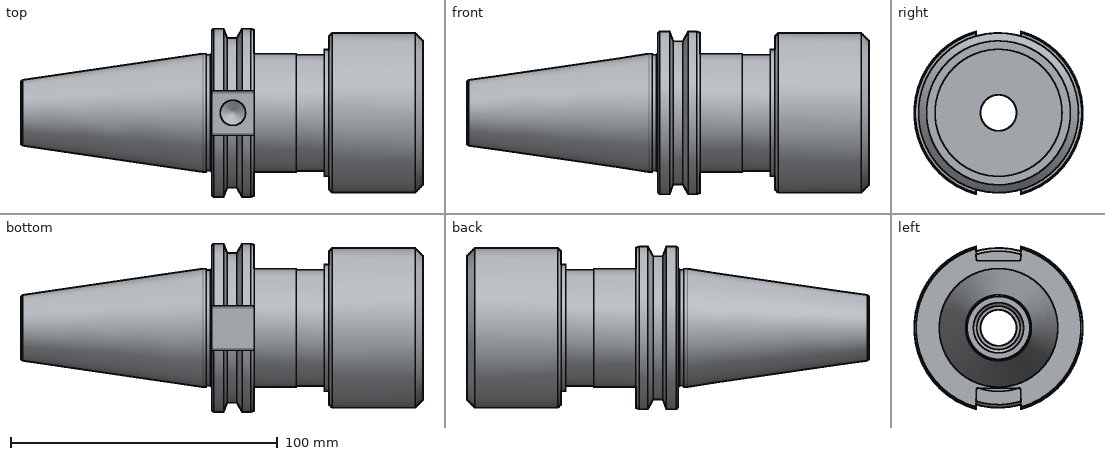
import cadquery as cq
import math

gauge_x = 68.2
relief_start_x = 69.5
flange_start_x = 71.5
v_groove_start_x = 76.0
v_floor_start_x = 77.4
v_floor_end_x = 81.0
v_groove_end_x = 83.0
flange_end_x = 87.5
neck_step_x = 103.3
nose_start_x = 113.7
nut_start_x = 115.5
nose_end_x = 150.8

small_end_radius = 12.4
body_radius = 44.5 / 2
relief_radius = 43.6 / 2
flange_radius = 31.7
v_floor_radius = 28.2
neck_radius = 43.7 / 2
nose_radius = 47.7 / 2

small_end_chamfer = 0.6
relief_corner = 0.5
flange_front_chamfer = 0.8
flange_back_chamfer = 1.4
flange_back_drop = 0.5

bore_radius = 13.4 / 2
pilot_radius = 16.3 / 2
pilot_mouth_radius = 18.8 / 2
pilot_depth = 4.2

slot_width = 16.7
upper_slot_floor = 25.2
lower_slot_floor = 22.6
slot_corner_radius = 0.8
dimple_radius = 9.5 / 2
dimple_tip_angle = 118

nut_radius = 60.0 / 2
nut_rear_chamfer = 1.2
nut_front_chamfer = 3.0


def revolve_about_x(points):
    """Solid of revolution about X from (x, radius) points."""
    return cq.Workplane("XY").polyline(points).close().revolve(360, (0, 0, 0), (1, 0, 0))


def holder_blank():
    """Taper, flange with V groove, neck and nose."""
    return revolve_about_x([
        (0, 0),
        (0, small_end_radius - small_end_chamfer),
        (small_end_chamfer, small_end_radius),
        (gauge_x, body_radius),
        (relief_start_x, body_radius),
        (relief_start_x, relief_radius),
        (flange_start_x - relief_corner, relief_radius),
        (flange_start_x, relief_radius + relief_corner),
        (flange_start_x, flange_radius - flange_front_chamfer),
        (flange_start_x + flange_front_chamfer, flange_radius),
        (v_groove_start_x, flange_radius),
        (v_floor_start_x, v_floor_radius),
        (v_floor_end_x, v_floor_radius),
        (v_groove_end_x, flange_radius),
        (flange_end_x - flange_back_chamfer, flange_radius),
        (flange_end_x, flange_radius - flange_back_drop),
        (flange_end_x, body_radius),
        (neck_step_x, body_radius),
        (neck_step_x, neck_radius),
        (nose_start_x, neck_radius),
        (nose_start_x, nose_radius),
        (nose_end_x, nose_radius),
        (nose_end_x, 0),
    ])


def bore_cutter():
    """Through bore with a chamfered pilot at the small end."""
    mouth_chamfer = pilot_mouth_radius - pilot_radius
    return revolve_about_x([
        (0, 0),
        (0, pilot_mouth_radius),
        (mouth_chamfer, pilot_radius),
        (pilot_depth, pilot_radius),
        (pilot_depth, bore_radius),
        (nose_end_x, bore_radius),
        (nose_end_x, 0),
    ])


def slot_cutter(floor_height, direction):
    """Round-cornered drive slot across the flange, outward from the floor toward +Z (1) or -Z (-1)."""
    depth = flange_radius - floor_height
    flange_width = flange_end_x - flange_start_x
    block = cq.Workplane("XY").box(flange_width, slot_width, depth)
    floor_face = "<Z" if direction > 0 else ">Z"
    rounded = block.faces(floor_face).edges("|X").fillet(slot_corner_radius)
    return rounded.translate((
        (flange_start_x + flange_end_x) / 2,
        0,
        direction * (floor_height + depth / 2),
    ))


def dimple_cutter():
    """Conical drill point sunk into the upper slot floor."""
    depth = dimple_radius / math.tan(math.radians(dimple_tip_angle / 2))
    dimple_x = (flange_start_x + flange_end_x) / 2
    cone = cq.Solid.makeCone(
        dimple_radius, 0, depth, pnt=cq.Vector(dimple_x, 0, upper_slot_floor), dir=cq.Vector(0, 0, -1)
    )
    return cq.Workplane(cone)


def make_holder():
    return (
        holder_blank()
        .cut(bore_cutter())
        .cut(slot_cutter(upper_slot_floor, 1))
        .cut(slot_cutter(lower_slot_floor, -1))
        .cut(dimple_cutter())
    )


def make_nut():
    """Chamfered ring that fits around the nose."""
    return revolve_about_x([
        (nut_start_x, nose_radius),
        (nut_start_x, nut_radius - nut_rear_chamfer),
        (nut_start_x + nut_rear_chamfer, nut_radius),
        (nose_end_x - nut_front_chamfer, nut_radius),
        (nose_end_x, nut_radius - nut_front_chamfer),
        (nose_end_x, nose_radius),
    ])


holder = make_holder()
nut = make_nut()
result = cq.Compound.makeCompound([holder.val(), nut.val()])